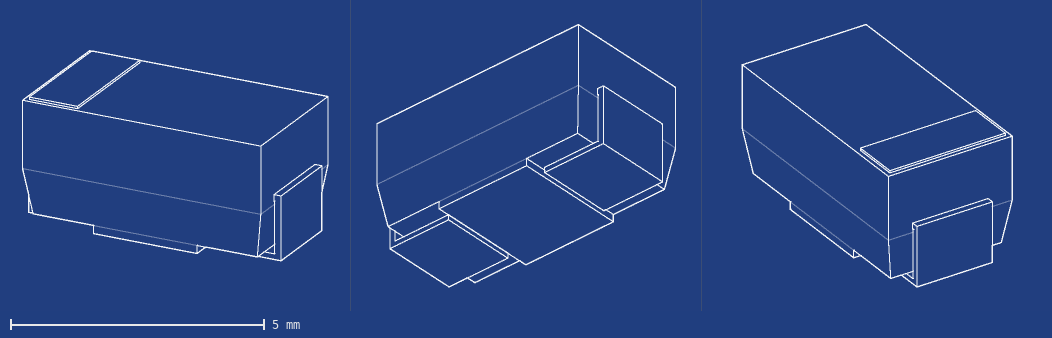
import cadquery as cq

overall_length = 5.59
housing_width = 2.92
overall_height = 2.67

lead_overhang = 0.155
housing_length = overall_length - 2 * lead_overhang
mark_thickness = 0.05
housing_top = overall_height - mark_thickness
parting_height = 1.17
foot_height = 0.175
taper_inset = 0.155
base_length = housing_length - 2 * taper_inset
base_width = housing_width - 2 * taper_inset
foot_length = 2.29

mark_length = 1.07
mark_margin = 0.1
mark_width = housing_width - 2 * mark_margin

lead_width = 1.78
lead_height = 1.38
lead_wall = 0.14
lead_floor = 0.125
lead_floor_length = 1.54


def make_housing():
    upper_block = (
        cq.Workplane("XY").workplane(offset=parting_height)
        .rect(housing_length, housing_width)
        .extrude(housing_top - parting_height)
    )
    tapered_block = (
        cq.Workplane("XY").workplane(offset=foot_height)
        .rect(base_length, base_width)
        .workplane(offset=parting_height - foot_height)
        .rect(housing_length, housing_width)
        .loft(ruled=True)
    )
    foot = cq.Workplane("XY").rect(foot_length, base_width).extrude(foot_height)
    return upper_block.union(tapered_block).union(foot)


def make_polarity_mark():
    center_x = -housing_length / 2 + mark_margin + mark_length / 2
    return (
        cq.Workplane("XY").workplane(offset=housing_top)
        .center(center_x, 0)
        .rect(mark_length, mark_width)
        .extrude(mark_thickness)
    )


def make_lead(side):
    """Bent strip at the -X end (side = -1) or the +X end (side = 1)."""
    outer_x = side * overall_length / 2
    tab_x = outer_x - side * lead_overhang
    inner_x = outer_x - side * lead_wall
    floor_end_x = outer_x - side * lead_floor_length
    return (
        cq.Workplane("XZ")
        .moveTo(outer_x, 0)
        .lineTo(outer_x, lead_height)
        .lineTo(tab_x, lead_height)
        .lineTo(tab_x, lead_height - lead_wall)
        .lineTo(inner_x, lead_height - lead_wall)
        .lineTo(inner_x, lead_floor)
        .lineTo(floor_end_x, lead_floor)
        .lineTo(floor_end_x, 0)
        .close()
        .extrude(lead_width / 2, both=True)
    )


housing = make_housing()
polarity_mark = make_polarity_mark()
leads = [make_lead(side) for side in (-1, 1)]

result = cq.Compound.makeCompound(
    [housing.val(), polarity_mark.val(), *[lead.val() for lead in leads]]
)